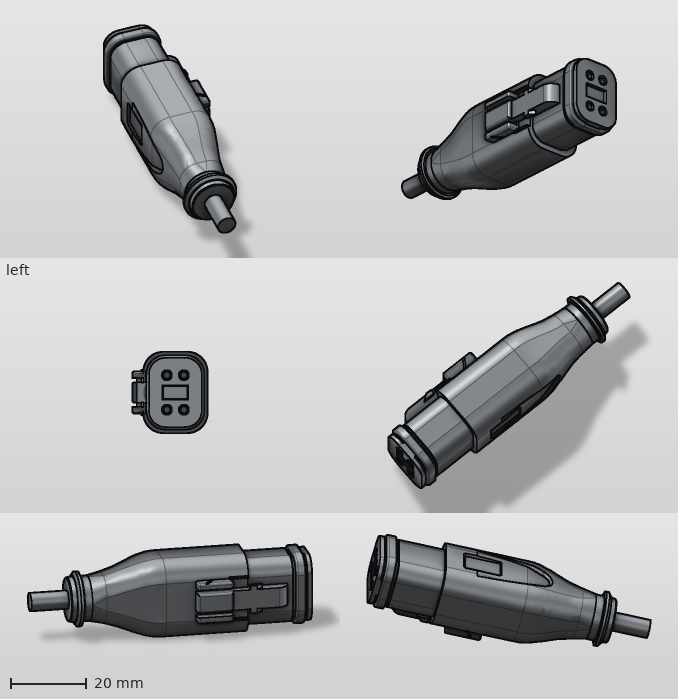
import cadquery as cq
import math

PLATE_END = 1.3
SEAL_START = 1.8
SEAL_END = 4.4
HEAD_START = 5.1
SHELL_START = 17.6
SHELL_END = 39.8
TAPER_END = 55.3
NECK_START = 59.1
FLANGE_START = 61.2
FLANGE_RIM_START = 61.5
FLANGE_RIM_END = 62.35
FLANGE_BACK = 63.1
COLLAR_END = 64.7
CABLE_END = 74.8

SHELL_HALF_Y = 8.5
SHELL_HALF_Z = 10.8
SHELL_RADIUS = 5.4
HEAD_HALF_Y = 6.95
HEAD_HALF_Z = 9.1
HEAD_RADIUS = 4.25
SEAL_OFFSET = 0.7
GROOVE_OFFSET = -0.45
SEAL_FILLET = 0.45
HEAD_CHAMFER = 0.15

NECK_RADIUS = 6.05
FLANGE_RADIUS = 7.3
FLANGE_FRONT_RADIUS = 6.65
FLANGE_BACK_RADIUS = 6.4
COLLAR_START_RADIUS = 6.1
COLLAR_END_RADIUS = 5.9
COLLAR_CHAMFER = 0.2
CABLE_RADIUS = 2.5

TAPER_START = 40.4
TAPER_FLAT_Y = 55.7
TAPER_END_RADIUS = 4.6
TAPER_SECTIONS = 5
NECK_CORNER_FLAT = 0.1

PIN_Y = 2.25
PIN_Z = 4.55
PIN_HOLE_RADIUS = 0.9
PIN_MOUTH_RADIUS = 1.35
PIN_MOUTH_DEPTH = 0.3
PIN_HOLE_DEPTH = 3.75
KEY_POCKET_Y = 6.9
KEY_POCKET_Z = 3.9
KEY_POCKET_DEPTH = 0.5
KEY_POCKET_DRAFT = 30.0
GROOVE_LAND_HALF_Y = 2.4

SIDE_CLEARANCE = 0.15

LABEL_X = 27.7
LABEL_LENGTH = 11.1
LABEL_HEIGHT = 7.85
LABEL_RADIUS = 1.1
LABEL_DEPTH = 0.5
LABEL_DRAFT = 50.0

GRIP_START = 25.8
GRIP_START_Z = 6.9
GRIP_MID = (36.3, 5.9)
GRIP_SHOULDER = (44.4, 4.5)
GRIP_TIP = 48.3
GRIP_DRAFT = 55.0
GRIP_DEPTH_AT_SHELL_END = 0.45
GRIP_DEPTH_AT_TIP = 1.8

LATCH_START = 6.8
LATCH_NOSE_LENGTH = 2.85
LATCH_ARM_Y = 10.25
LATCH_ROOT_Y = 6.35
LATCH_HALF_Z = 2.7
PAD_START = 22.05
PAD_END = 31.8
PAD_TOP_Y = 11.4
PAD_FILLET = 0.6
CROSSBAR_TIP = 14.0
CROSSBAR_TOP_START = 15.6
CROSSBAR_END = 17.35
CROSSBAR_BOTTOM_Y = 9.0
TAB_INNER_Z = 3.8
TAB_OUTER_Z = 5.6
TAB_GROOVE_DEPTH = 0.15
TAB_GROOVE_WIDTH = 0.7
TAB_GROOVE_FOOT = 27.2
TAB_GROOVE_HEAD = 29.0
LIP_TOP_Y = 9.0
LIP_THICKNESS = 0.45
LIP_END = 22.8
SLOT_FLOOR_Y = 7.85


def rounded_section(half_y, half_z, radius):
    """Rounded rectangle lying across the part."""
    return cq.Sketch().rect(2 * half_y, 2 * half_z).vertices().fillet(radius)


def prism(start, end, half_y, half_z, radius):
    """Rounded rectangular bar running along X."""
    section = rounded_section(half_y, half_z, radius)
    return cq.Workplane("YZ", origin=(start, 0, 0)).placeSketch(section).extrude(end - start)


def head_prism(start, end, offset):
    """Bar with the head's section, grown or shrunk by an offset."""
    return prism(start, end, HEAD_HALF_Y + offset, HEAD_HALF_Z + offset, HEAD_RADIUS + offset)


def smooth_step(x, start, end):
    t = min(max((x - start) / (end - start), 0), 1)
    return t * t * (3 - 2 * t)


def box(x_range, y_range, z_range):
    size = [high - low for low, high in (x_range, y_range, z_range)]
    corner = (x_range[0], y_range[0], z_range[0])
    return cq.Workplane("XY").box(*size, centered=False).translate(corner)


def both_sides(shape):
    """A shape on the +Z side together with its mirror image."""
    return shape.union(shape.mirror("XY"))


def head():
    """Mating head: front plate, corner groove, seal ring, groove and plain body."""
    core = head_prism(0, SHELL_START, GROOVE_OFFSET)
    plate = head_prism(0, PLATE_END, 0)
    land_y = (-GROOVE_LAND_HALF_Y, GROOVE_LAND_HALF_Y)
    land = box((PLATE_END, SEAL_START), land_y, (-HEAD_HALF_Z, HEAD_HALF_Z))
    seal = head_prism(SEAL_START, SEAL_END, SEAL_OFFSET).faces("<X or >X").edges().fillet(SEAL_FILLET)
    body = head_prism(HEAD_START, SHELL_START, 0).faces("<X").edges().chamfer(HEAD_CHAMFER)
    return core.union(plate).union(land).union(seal).union(body)


def blend_section(x, radius):
    """Cross-section of the transition from the shell to the neck at station x."""
    shrink_y = (SHELL_HALF_Y - NECK_RADIUS) * smooth_step(x, TAPER_START, TAPER_FLAT_Y)
    shrink_z = (SHELL_HALF_Z - NECK_RADIUS) * smooth_step(x, TAPER_START, NECK_START)
    section = rounded_section(SHELL_HALF_Y - shrink_y, SHELL_HALF_Z - shrink_z, radius)
    return section.moved(cq.Location(cq.Vector(0, 0, x)))


def blend(start, end, start_radius, end_radius, count):
    """Smooth loft through evenly spaced cross-sections."""
    sections = []
    for i in range(count):
        t = i / (count - 1)
        x = start + (end - start) * t
        sections.append(blend_section(x, start_radius + (end_radius - start_radius) * t))
    return cq.Workplane("YZ").placeSketch(*sections).loft()


def taper():
    """Tapered grip, then a short blend into the round neck."""
    grip = blend(SHELL_END, TAPER_END, SHELL_RADIUS, TAPER_END_RADIUS, TAPER_SECTIONS)
    neck = blend(TAPER_END, NECK_START, TAPER_END_RADIUS, NECK_RADIUS - NECK_CORNER_FLAT, 2)
    return grip.union(neck)


def collar_and_cable():
    """Neck, flange with a sloped back, collar end and cable, turned about X."""
    profile = [
        (NECK_START, 0),
        (NECK_START, NECK_RADIUS),
        (FLANGE_START, NECK_RADIUS),
        (FLANGE_START, FLANGE_FRONT_RADIUS),
        (FLANGE_RIM_START, FLANGE_RADIUS),
        (FLANGE_RIM_END, FLANGE_RADIUS),
        (FLANGE_BACK, FLANGE_BACK_RADIUS),
        (FLANGE_BACK, COLLAR_START_RADIUS),
        (COLLAR_END - COLLAR_CHAMFER, COLLAR_END_RADIUS),
        (COLLAR_END, COLLAR_END_RADIUS - COLLAR_CHAMFER),
        (COLLAR_END, CABLE_RADIUS),
        (CABLE_END, CABLE_RADIUS),
        (CABLE_END, 0),
    ]
    return cq.Workplane("XY").polyline(profile).close().revolve(360, (0, 0, 0), (1, 0, 0))


def latch():
    """Latch arm with thumb pad, crossbar and side tabs on the +Y side."""
    nose_height = LATCH_ARM_Y - HEAD_HALF_Y
    nose_inset = 1 - math.sqrt(0.5)
    arm = (
        cq.Workplane("XY", origin=(0, 0, -LATCH_HALF_Z))
        .moveTo(LATCH_START, LATCH_ROOT_Y)
        .lineTo(LATCH_START, HEAD_HALF_Y)
        .threePointArc(
            (LATCH_START + nose_inset * LATCH_NOSE_LENGTH, LATCH_ARM_Y - nose_inset * nose_height),
            (LATCH_START + LATCH_NOSE_LENGTH, LATCH_ARM_Y),
        )
        .lineTo(PAD_START, LATCH_ARM_Y)
        .lineTo(PAD_START, LATCH_ROOT_Y)
        .close()
        .extrude(2 * LATCH_HALF_Z)
    )
    pad_y = (LATCH_ROOT_Y, PAD_TOP_Y)
    pad = box((PAD_START, PAD_END), pad_y, (-LATCH_HALF_Z, LATCH_HALF_Z))
    pad = pad.faces(">Y").edges().fillet(PAD_FILLET)
    crossbar = (
        cq.Workplane("XY", origin=(0, 0, -TAB_INNER_Z))
        .polyline([
            (CROSSBAR_TIP, CROSSBAR_BOTTOM_Y),
            (CROSSBAR_TOP_START, LATCH_ARM_Y),
            (CROSSBAR_END, LATCH_ARM_Y),
            (CROSSBAR_END, CROSSBAR_BOTTOM_Y),
        ])
        .close()
        .extrude(2 * TAB_INNER_Z)
    )
    tab = box((PAD_START, PAD_END), pad_y, (TAB_INNER_Z, TAB_OUTER_Z))
    tab = tab.edges(">Z or (>Y and (<X or >X))").fillet(PAD_FILLET)
    groove = (
        cq.Workplane("XY", origin=(0, 0, TAB_OUTER_Z - TAB_GROOVE_DEPTH))
        .polyline([
            (TAB_GROOVE_FOOT, SHELL_HALF_Y),
            (TAB_GROOVE_HEAD, PAD_TOP_Y),
            (TAB_GROOVE_HEAD + TAB_GROOVE_WIDTH, PAD_TOP_Y),
            (TAB_GROOVE_FOOT + TAB_GROOVE_WIDTH, SHELL_HALF_Y),
        ])
        .close()
        .extrude(TAB_GROOVE_DEPTH)
    )
    return arm.union(pad).union(crossbar).union(both_sides(tab.cut(groove)))


def latch_slot():
    """Clearance under the latch arm at the front of the shell."""
    return box((SHELL_START, PAD_START), (SLOT_FLOOR_Y, LIP_TOP_Y), (-TAB_OUTER_Z, TAB_OUTER_Z))


def slot_lips():
    """Thin raised lips along both sides of the latch slot."""
    z_range = (TAB_OUTER_Z, TAB_OUTER_Z + LIP_THICKNESS)
    return both_sides(box((SHELL_START, LIP_END), (LATCH_ROOT_Y, LIP_TOP_Y), z_range))


def pin_holes():
    """Four pin sockets with flared mouths in the mating face."""
    profile = [
        (0, 0),
        (0, PIN_MOUTH_RADIUS),
        (PIN_MOUTH_DEPTH, PIN_HOLE_RADIUS),
        (PIN_HOLE_DEPTH, PIN_HOLE_RADIUS),
        (PIN_HOLE_DEPTH, 0),
    ]
    hole = cq.Workplane("XY").polyline(profile).close().revolve(360, (0, 0, 0), (1, 0, 0))
    row = hole.translate((0, PIN_Y, PIN_Z)).union(hole.translate((0, -PIN_Y, PIN_Z)))
    return both_sides(row)


def key_pocket():
    """Drafted rectangular pocket in the middle of the mating face."""
    outline = cq.Workplane("YZ").rect(KEY_POCKET_Y, KEY_POCKET_Z)
    return outline.extrude(KEY_POCKET_DEPTH, taper=KEY_POCKET_DRAFT)


GRIP_SIDE = cq.Plane(origin=(0, -SHELL_HALF_Y - SIDE_CLEARANCE, 0), xDir=(1, 0, 0), normal=(0, 1, 0))


def grip_recess():
    """Tongue-shaped recess whose floor keeps the shell's section and sinks toward the rounded tip."""
    tongue = (
        cq.Workplane(GRIP_SIDE)
        .moveTo(GRIP_START, -GRIP_START_Z)
        .threePointArc((GRIP_MID[0], -GRIP_MID[1]), (GRIP_SHOULDER[0], -GRIP_SHOULDER[1]))
        .threePointArc((GRIP_TIP, 0), GRIP_SHOULDER)
        .threePointArc(GRIP_MID, (GRIP_START, GRIP_START_Z))
        .close()
        .extrude(GRIP_DEPTH_AT_TIP + SIDE_CLEARANCE, taper=GRIP_DRAFT)
    )
    floor_stations = (
        (GRIP_START, 0),
        (SHELL_END, GRIP_DEPTH_AT_SHELL_END),
        (GRIP_TIP, GRIP_DEPTH_AT_TIP),
    )
    for (start, start_depth), (end, end_depth) in zip(floor_stations, floor_stations[1:]):
        sections = []
        for x, depth in ((start, start_depth), (end, end_depth)):
            section = rounded_section(SHELL_HALF_Y, SHELL_HALF_Z, SHELL_RADIUS)
            sections.append(section.moved(cq.Location(cq.Vector(depth, 0, x))))
        tongue = tongue.cut(cq.Workplane("YZ").placeSketch(*sections).loft(ruled=True))
    return tongue


def label_recess():
    """Shallow rounded window with sloped walls."""
    outline = cq.Sketch().rect(LABEL_LENGTH, LABEL_HEIGHT).vertices().fillet(LABEL_RADIUS)
    face = cq.Workplane(GRIP_SIDE).center(LABEL_X, 0)
    return face.placeSketch(outline).extrude(LABEL_DEPTH + SIDE_CLEARANCE, taper=LABEL_DRAFT)


shell = prism(SHELL_START, SHELL_END, SHELL_HALF_Y, SHELL_HALF_Z, SHELL_RADIUS)
shell = shell.cut(latch_slot()).union(slot_lips())
result = head().union(shell).union(taper()).union(collar_and_cable()).union(latch())
for recess in (pin_holes(), key_pocket(), grip_recess(), label_recess()):
    result = result.cut(recess)